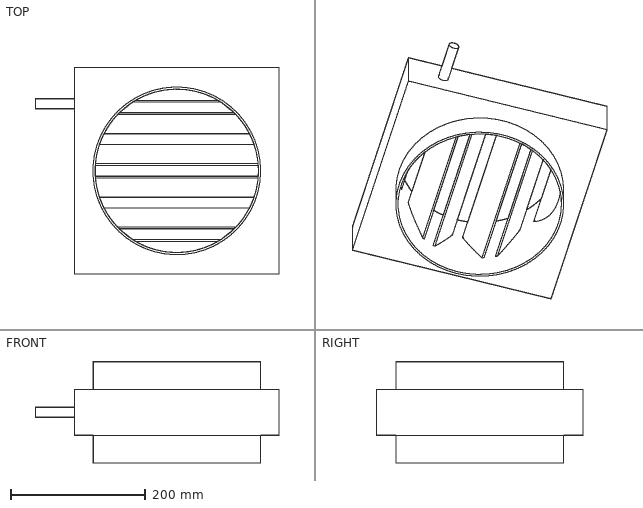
import cadquery as cq

housing_x = 305.0
housing_y = 308.0
housing_z = 68.2

duct_diameter = 249.7
duct_wall = 3.3
total_height = 151.0
bore_radius = duct_diameter / 2 - duct_wall

shaft_diameter = 15.2
shaft_length = 58.0
shaft_y = 100.0

blade_count = 6
blade_pitch = 47.2
blade_height = 54.5
blade_edge = 3.0
blade_lean = 28.5



def make_body():
    """Housing and collars with one round passage through them."""
    housing = cq.Workplane("XY").box(housing_x, housing_y, housing_z)
    duct = cq.Workplane("XY").circle(duct_diameter / 2).extrude(total_height / 2, both=True)
    passage = cq.Workplane("XY").circle(bore_radius).extrude(total_height / 2, both=True)
    return housing.union(duct).cut(passage)


def make_shaft():
    """Solid round shaft standing out from the -X face."""
    return (
        cq.Workplane("YZ", origin=(-housing_x / 2, shaft_y, 0))
        .circle(shaft_diameter / 2)
        .extrude(-shaft_length)
    )


def make_blade(center_y, direction):
    """Sloping blade with level edges, leaning toward +Y (1) or -Y (-1), ends embedded in the duct wall."""
    top_shift = direction * blade_lean / 2
    half_edge = blade_edge / 2
    half_height = blade_height / 2
    blade = (
        cq.Workplane("YZ", origin=(0, center_y, 0))
        .polyline([
            (-top_shift - half_edge, -half_height),
            (-top_shift + half_edge, -half_height),
            (top_shift + half_edge, half_height),
            (top_shift - half_edge, half_height),
        ])
        .close()
        .extrude(duct_diameter / 2, both=True)
    )
    duct_envelope = cq.Workplane("XY").circle(duct_diameter / 2).extrude(total_height / 2, both=True)
    return blade.intersect(duct_envelope)


result = make_body().union(make_shaft())
for index in range(blade_count):
    blade_y = (index - (blade_count - 1) / 2) * blade_pitch
    lean_direction = 1 if index % 2 == 0 else -1
    result = result.union(make_blade(blade_y, lean_direction))